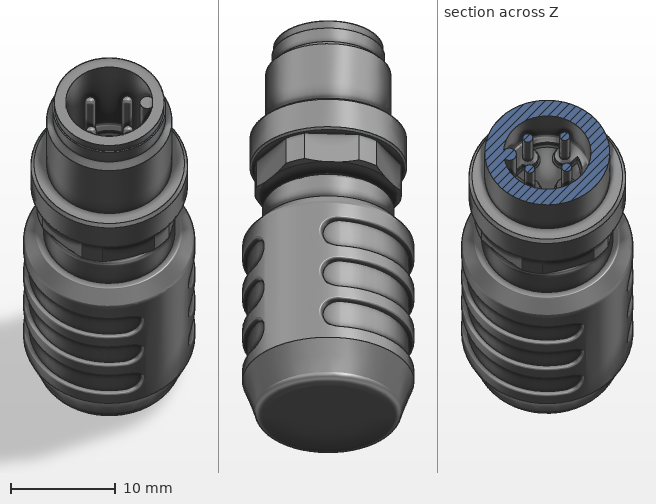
import cadquery as cq
import math


total_height = 41.2
base_round_top = 0.95
taper_top = 4.15
grip_shoulder_bottom = 19.3
grip_top = 20.7
cap_ring_top = 23.65
hex_bottom = 24.75
collar_bottom = 27.85
collar_top = 31.4
sleeve_top = 38.8
plug_step = 40.3

base_diameter = 12.0
taper_small_diameter = 14.1
grip_diameter = 16.4
grip_top_diameter = 13.85
cap_ring_diameter = 12.6
neck_diameter = 8.7
collar_diameter = 15.0
sleeve_diameter = 12.0
plug_diameter = 10.8
plug_tip_diameter = 10.5

cap_ring_fillet = 0.45
grip_shoulder_fillet = 0.5
grip_top_fillet = 0.25
collar_top_chamfer = 0.3
collar_bottom_chamfer = 0.2
sleeve_chamfer = (sleeve_diameter - plug_diameter) / 2

hex_across_flats = 13.0
hex_corner_diameter = 14.0
hex_chamfer_radial = 0.45
hex_chamfer_height = 0.28
hex_sides = 6
hex_turn = 180 / hex_sides

recess_count = 3
recess_pitch = 4.5
lowest_recess_height = 7.0
recess_width = 3.0
recess_floor_diameter = 15.4
recess_end_offset = 3.05
recess_edge_fillet = 0.2

height_tolerance = 0.05

bore_diameter = 8.3
bore_depth = 9.0
bore_floor_fillet = 0.34
pin_diameter = 1.0
pin_circle_radius = 2.5
pin_tip_depth = 1.85
pin_count = 4
key_radius = 0.72
key_center_radius = 3.65
key_top_depth = 0.25
key_angle = 45
well_radius = 3.35
pin_pad_radius = 1.0
well_depth = 0.6
well_floor_chamfer = 0.18
well_key_corner = 2.3

bore_floor = total_height - bore_depth
well_floor = bore_floor - well_depth


def cylinder(diameter, bottom, top):
    return cq.Workplane("XY").workplane(offset=bottom).circle(diameter / 2).extrude(top - bottom)


def edges_between(body, bottom, top):
    """Edges of the body lying wholly between two heights."""
    box = cq.selectors.BoxSelector(
        (-grip_diameter, -grip_diameter, bottom - height_tolerance),
        (grip_diameter, grip_diameter, top + height_tolerance),
        boundingbox=True,
    )
    return body.edges(box)


def make_grip():
    """Grip sleeve with a tapered, rounded foot and a conical shoulder."""
    foot_radius = base_diameter / 2
    taper_radius = taper_small_diameter / 2
    inset = 1 - math.sqrt(0.5)
    foot_mid = (taper_radius - (taper_radius - foot_radius) * inset, base_round_top * inset)
    body = (
        cq.Workplane("XZ")
        .moveTo(0, 0)
        .lineTo(foot_radius, 0)
        .threePointArc(foot_mid, (taper_radius, base_round_top))
        .lineTo(grip_diameter / 2, taper_top)
        .lineTo(grip_diameter / 2, grip_shoulder_bottom)
        .lineTo(grip_top_diameter / 2, grip_top)
        .lineTo(0, grip_top)
        .close()
        .revolve(360, (0, 0, 0), (0, 1, 0))
    )
    body = body.faces(">Z").edges().fillet(grip_top_fillet)
    shoulder = edges_between(body, grip_shoulder_bottom, grip_shoulder_bottom)
    return shoulder.fillet(grip_shoulder_fillet)


def make_recess(side, height):
    """Round-ended slot cutter along X, stopping at the recess floor; side is +1 or -1 in Y."""
    slot_length = grip_diameter
    center_y = side * (recess_end_offset + slot_length / 2)
    slot = (
        cq.Workplane("YZ")
        .center(center_y, height)
        .slot2D(slot_length, recess_width)
        .extrude(grip_diameter, both=True)
    )
    floor = cylinder(recess_floor_diameter, height - recess_width, height + recess_width)
    return slot.cut(floor)


def lies_on_grip_surface(edge):
    """True for an edge nearer to the outer grip surface than to the recess floor."""
    middle = edge.positionAt(0.5)
    mean_diameter = (grip_diameter + recess_floor_diameter) / 2
    return math.hypot(middle.x, middle.y) > mean_diameter / 2


def cut_recesses(grip):
    """Cut the rows of finger recesses on both sides and round their rims."""
    for index in range(recess_count):
        height = lowest_recess_height + index * recess_pitch
        for side in (1, -1):
            grip = grip.cut(make_recess(side, height))
    highest_recess_height = lowest_recess_height + (recess_count - 1) * recess_pitch
    lower_rim = lowest_recess_height - recess_width / 2
    upper_rim = highest_recess_height + recess_width / 2
    rims = edges_between(grip, lower_rim, upper_rim).filter(lies_on_grip_surface)
    return rims.fillet(recess_edge_fillet)


def make_hex_nut():
    """Hexagon with turned corners and a conical chamfer under it."""
    height = collar_bottom - hex_bottom
    prism = (
        cq.Workplane("XY")
        .workplane(offset=hex_bottom)
        .polygon(hex_sides, hex_across_flats, circumscribed=True)
        .extrude(height)
        .rotate((0, 0, 0), (0, 0, 1), hex_turn)
    )
    turned = (
        cylinder(hex_corner_diameter, hex_bottom, collar_bottom)
        .faces("<Z")
        .chamfer(hex_chamfer_height, hex_chamfer_radial)
    )
    return prism.intersect(turned)


def make_upper_body():
    """Everything turned above the grip, from the cap ring to the plug tip."""
    cap_ring = cylinder(cap_ring_diameter, grip_top, cap_ring_top).faces(">Z").edges().fillet(cap_ring_fillet)
    neck = cylinder(neck_diameter, cap_ring_top, hex_bottom)
    collar = cylinder(collar_diameter, collar_bottom, collar_top)
    collar = collar.faces(">Z").chamfer(collar_top_chamfer)
    collar = collar.faces("<Z").chamfer(collar_bottom_chamfer)
    sleeve = cylinder(sleeve_diameter, collar_top, sleeve_top).faces(">Z").chamfer(sleeve_chamfer)
    plug = cylinder(plug_diameter, sleeve_top, plug_step)
    tip = cylinder(plug_tip_diameter, plug_step, total_height)
    return cap_ring.union(neck).union(make_hex_nut()).union(collar).union(sleeve).union(plug).union(tip)


def make_bore():
    """Cutter for the plug cavity, rounded at its floor."""
    bore = cylinder(bore_diameter, bore_floor, total_height)
    return bore.faces("<Z").edges().fillet(bore_floor_fillet)


def pin_positions():
    """Pin centres evenly spaced on their circle, starting on +X."""
    step = 2 * math.pi / pin_count
    return [
        (pin_circle_radius * math.cos(i * step), pin_circle_radius * math.sin(i * step))
        for i in range(pin_count)
    ]


def make_pin(x, y):
    """Contact pin with a domed tip."""
    dome_center = total_height - pin_tip_depth - pin_diameter / 2
    pin = cylinder(pin_diameter, well_floor, dome_center)
    dome = cq.Workplane("XY").sphere(pin_diameter / 2).translate((0, 0, dome_center))
    return pin.union(dome).translate((x, y, 0))


def make_well():
    """Cutter for the sunken bore floor, leaving a pad around each pin and squared off at the key."""
    outline = (
        cq.Workplane("XY")
        .workplane(offset=well_floor)
        .moveTo(-well_radius, -well_radius)
        .lineTo(well_radius, -well_radius)
        .lineTo(well_radius, 0)
        .lineTo(well_key_corner, 0)
        .lineTo(well_key_corner, well_key_corner)
        .lineTo(0, well_key_corner)
        .lineTo(0, well_radius)
        .lineTo(-well_radius, well_radius)
        .close()
        .extrude(well_depth)
    )
    well = cylinder(2 * well_radius, well_floor, bore_floor).intersect(outline)
    pad = (
        cq.Workplane("XY")
        .workplane(offset=well_floor)
        .center(pin_circle_radius + well_radius, 0)
        .slot2D(2 * (well_radius + pin_pad_radius), 2 * pin_pad_radius)
        .extrude(well_depth)
    )
    for index in range(pin_count):
        well = well.cut(pad.rotate((0, 0, 0), (0, 0, 1), index * 360 / pin_count))
    return well.faces("<Z").chamfer(well_floor_chamfer)


def make_key():
    """Coding rib along the bore wall."""
    angle = math.radians(key_angle)
    key = cylinder(2 * key_radius, well_floor, total_height - key_top_depth)
    return key.translate((key_center_radius * math.cos(angle), key_center_radius * math.sin(angle), 0))


result = cut_recesses(make_grip()).union(make_upper_body()).cut(make_bore()).cut(make_well())
result = result.union(make_key())
for pin_x, pin_y in pin_positions():
    result = result.union(make_pin(pin_x, pin_y))